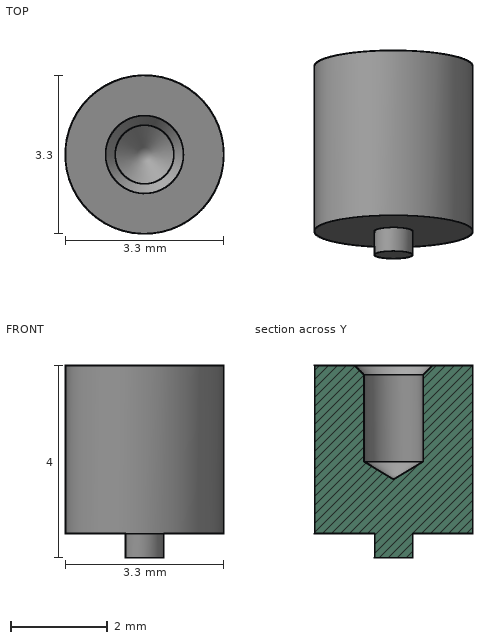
import cadquery as cq
import math

body_diameter = 3.3
body_height = 3.5
pin_diameter = 0.8
pin_length = 0.5
hole_diameter = 1.22
hole_depth = 2.0
drill_point_angle = 118.0
countersink_width = 0.2
countersink_depth = 0.2

body_radius = body_diameter / 2
pin_radius = pin_diameter / 2
hole_radius = hole_diameter / 2
countersink_radius = hole_radius + countersink_width
drill_point_height = hole_radius / math.tan(math.radians(drill_point_angle / 2))


def make_body():
    """Cylinder standing on the XY plane."""
    return cq.Workplane("XY").circle(body_radius).extrude(body_height)


def make_pin():
    """Thin coaxial pin hanging below the body."""
    return cq.Workplane("XY").circle(pin_radius).extrude(-pin_length)


def make_hole():
    """Countersunk blind hole with a drill point, revolved about the Z axis."""
    wall_bottom = body_height - hole_depth
    half_section = (
        cq.Workplane("XZ")
        .moveTo(0, body_height)
        .lineTo(countersink_radius, body_height)
        .lineTo(hole_radius, body_height - countersink_depth)
        .lineTo(hole_radius, wall_bottom)
        .lineTo(0, wall_bottom - drill_point_height)
        .close()
    )
    return half_section.revolve(360, (0, 0, 0), (0, 1, 0))


result = make_body().union(make_pin()).cut(make_hole())